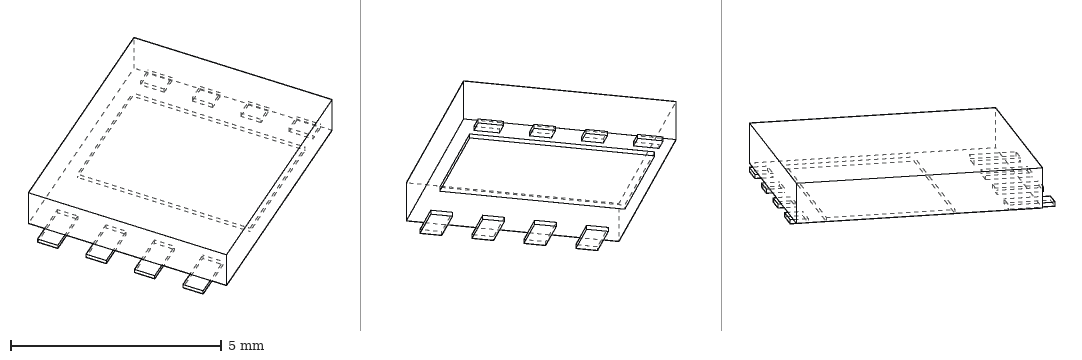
import cadquery as cq

housing_width = 5.2
housing_length = 6.0
housing_height = 1.0

metal_thickness = 0.105

lead_count = 4
lead_pitch = 1.27
lead_width = 0.53
front_lead_length = 1.135
front_overhang = 0.4
rear_lead_length = 0.44
rear_overhang = 0.08

metal_span = 4.52
pad_length = 3.135
pad_to_rear_lead_gap = 0.44

front_end = -front_overhang
rear_end = housing_length + rear_overhang
rear_lead_start = rear_end - rear_lead_length
row_width = (lead_count - 1) * lead_pitch + lead_width


def make_block(x_start, x_end, y_start, length, z_start, height):
    """Rectangular block between two X planes."""
    block = cq.Workplane("XY").box(x_end - x_start, length, height, centered=False)
    return block.translate((x_start, y_start, z_start))


def make_housing():
    half_width = housing_width / 2
    return make_block(-half_width, half_width, 0, housing_length, metal_thickness, housing_height)


def make_pad():
    """Wide pad lying between the two rows of leads."""
    half_span = metal_span / 2
    pad_start = rear_lead_start - pad_to_rear_lead_gap - pad_length
    return make_block(-half_span, half_span, pad_start, pad_length, 0, metal_thickness)


def lead_left_side(index):
    """X of the left side of a lead of standard width."""
    return -row_width / 2 + index * lead_pitch


def make_front_lead(index):
    left = lead_left_side(index)
    return make_block(left, left + lead_width, front_end, front_lead_length, 0, metal_thickness)


def make_rear_lead(index):
    """Rear lead; the first and last are widened outward to the pad sides."""
    left = lead_left_side(index)
    right = left + lead_width
    if index == 0:
        left = -metal_span / 2
    if index == lead_count - 1:
        right = metal_span / 2
    return make_block(left, right, rear_lead_start, rear_lead_length, 0, metal_thickness)


housing = make_housing()
pad = make_pad()
front_leads = [make_front_lead(index).val() for index in range(lead_count)]
rear_leads = [make_rear_lead(index).val() for index in range(lead_count)]

result = cq.Compound.makeCompound([housing.val(), pad.val(), *front_leads, *rear_leads])